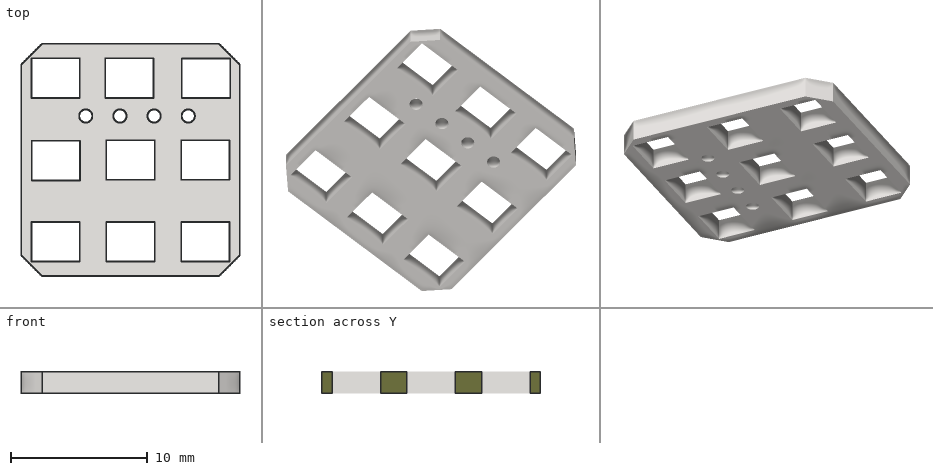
import cadquery as cq

width = 16.0
length = 17.0
thickness = 1.6
corner_cut = 1.53

window_width = 3.52
window_length = 2.87
column_pitch = 5.47
row_pitch = 5.98
window_shifts = {
    (0, 1): (-0.08, 0.0),
    (1, 1): (0.05, -0.02),
    (-1, 0): (0.02, -0.05),
}

hole_diameter = 0.95
hole_count = 4
hole_pitch = 2.5
hole_row_center_x = 0.48
hole_row_y = 3.21


def window_centers():
    """Centres of the grid windows, including their individual shifts."""
    centers = []
    for column in (-1, 0, 1):
        for row in (-1, 0, 1):
            shift_x, shift_y = window_shifts.get((column, row), (0.0, 0.0))
            centers.append((column * column_pitch + shift_x, row * row_pitch + shift_y))
    return centers


def hole_centers():
    """Evenly spaced hole centres along X."""
    first_x = hole_row_center_x - hole_pitch * (hole_count - 1) / 2
    return [(first_x + i * hole_pitch, hole_row_y) for i in range(hole_count)]


plate = cq.Workplane("XY").box(width, length, thickness)
plate = plate.edges("|Z").chamfer(corner_cut)

plate = plate.faces(">Z").workplane(origin=(0, 0, 0)).pushPoints(window_centers())
plate = plate.rect(window_width, window_length).cutThruAll()

plate = plate.faces(">Z").workplane(origin=(0, 0, 0)).pushPoints(hole_centers())
result = plate.hole(hole_diameter)